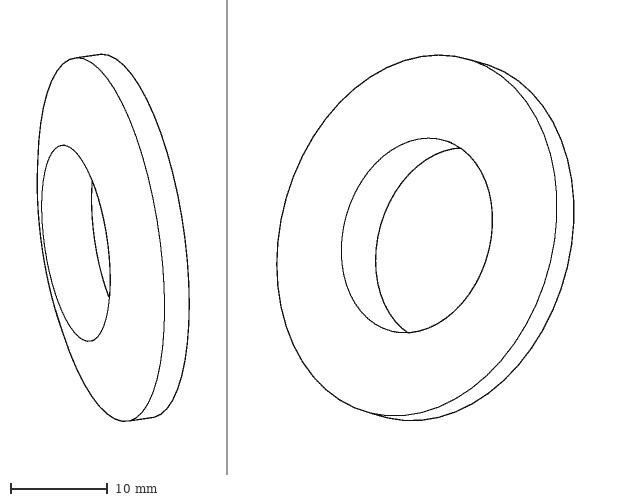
import cadquery as cq
import math

outer_diameter = 38.0
bore_diameter = 20.5
thickness = 5.5
rim_thickness = 2.75

outer_radius = outer_diameter / 2
bore_radius = bore_diameter / 2
rim_y = -rim_thickness
front_y = -thickness

sphere_center_y = (outer_radius**2 - bore_radius**2 + rim_y**2 - front_y**2) / (2 * (rim_y - front_y))
sphere_radius = math.hypot(outer_radius, rim_y - sphere_center_y)

middle_radius = (outer_radius + bore_radius) / 2
middle_y = sphere_center_y - math.sqrt(sphere_radius**2 - middle_radius**2)

profile = (
    cq.Workplane("XY")
    .moveTo(bore_radius, 0)
    .lineTo(outer_radius, 0)
    .lineTo(outer_radius, rim_y)
    .threePointArc((middle_radius, middle_y), (bore_radius, front_y))
    .close()
)
result = profile.revolve(360, (0, 0, 0), (0, 1, 0))